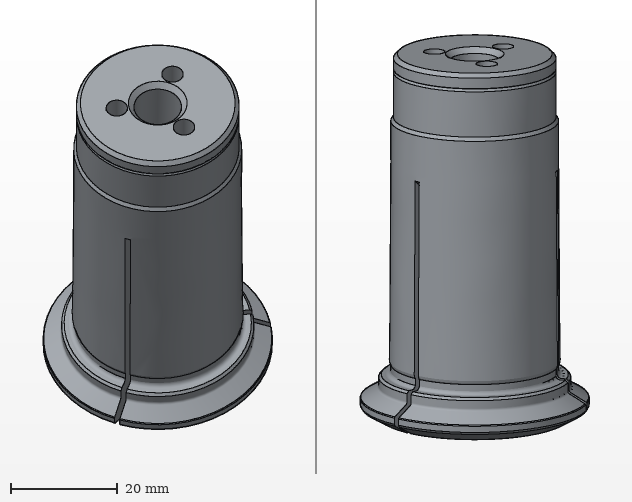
import cadquery as cq
import math

total_height = 70.0

rim_radius = 43.0 / 2
rim_bottom_z = 2.3
rim_top_z = 3.5
rim_top_break_radius = 0.15
rim_top_break_height = 0.2
rim_bottom_break_radius = 0.3
flange_base_radius = 18.0
cone_spread = math.tan(math.radians(60))

lower_cone_top_radius = rim_radius - rim_bottom_break_radius
lower_cone_top_z = (lower_cone_top_radius - flange_base_radius) / cone_spread
upper_cone_bottom_radius = rim_radius - rim_top_break_radius
upper_cone_bottom_z = rim_top_z + rim_top_break_height

collar_radius = 36.05 / 2
collar_top_z = 8.05
collar_chamfer = 0.5
collar_blend_length = 0.35
collar_corner_z = upper_cone_bottom_z + (upper_cone_bottom_radius - collar_radius) / cone_spread

neck_radius = 15.75
neck_bottom_z = 8.75
neck_top_z = 10.1
neck_fillet_start_radius = 16.8
neck_fillet_radius = 0.9

body_bottom_radius = 32.05 / 2
body_top_radius = 31.5 / 2
body_bottom_z = 10.8
body_top_z = 57.1
body_edge_radius = 15.9
body_edge_z = 10.3

head_radius = 30.5 / 2
head_bottom_z = 57.8
head_chamfer = 0.8
groove_top_z = 67.2
groove_floor_z = 67.05
groove_bottom_z = 66.6
groove_depth = 0.3

bore_radius = 25.0 / 2
bore_depth = body_top_z
center_hole_diameter = 8.9
center_hole_chamfer = 1.05
small_hole_diameter = 4.0
small_hole_circle_radius = 7.8
hole_count = 3

slot_width = 1.05
slot_count = 3
slot_first_angle = 180
slot_top_z = 48.2
slot_top_slope = math.tan(math.radians(40))
slot_floor_start_radius = 28.5 / 2
slot_floor_slope = math.tan(math.radians(35))
slot_overrun = 0.7


def outer_body():
    """Solid of revolution with the whole outer contour."""
    blend_start = (
        collar_radius + collar_blend_length * math.sin(math.radians(60)),
        collar_corner_z - collar_blend_length * math.cos(math.radians(60)),
    )
    blend_end = (collar_radius, collar_corner_z + collar_blend_length)
    profile = (
        cq.Workplane("XZ")
        .lineTo(flange_base_radius, 0)
        .lineTo(lower_cone_top_radius, lower_cone_top_z)
        .lineTo(rim_radius, rim_bottom_z)
        .lineTo(rim_radius, rim_top_z)
        .lineTo(upper_cone_bottom_radius, upper_cone_bottom_z)
        .lineTo(*blend_start)
        .tangentArcPoint(blend_end, relative=False)
        .lineTo(collar_radius, collar_top_z - collar_chamfer)
        .lineTo(collar_radius - collar_chamfer, collar_top_z)
        .lineTo(neck_fillet_start_radius, collar_top_z)
        .radiusArc((neck_radius, neck_bottom_z), neck_fillet_radius)
        .lineTo(neck_radius, neck_top_z)
        .lineTo(body_edge_radius, body_edge_z)
        .lineTo(body_bottom_radius, body_bottom_z)
        .lineTo(body_top_radius, body_top_z)
        .lineTo(head_radius, head_bottom_z)
        .lineTo(head_radius, groove_bottom_z)
        .lineTo(head_radius - groove_depth, groove_floor_z)
        .lineTo(head_radius, groove_top_z)
        .lineTo(head_radius, total_height - head_chamfer)
        .lineTo(head_radius - head_chamfer, total_height)
        .lineTo(0, total_height)
        .close()
    )
    return profile.revolve(360, (0, 0, 0), (0, 1, 0))


def bore():
    """Blind bore, open at the bottom."""
    return cq.Workplane("XY").circle(bore_radius).extrude(bore_depth)


def top_holes(body):
    """Countersunk center hole and a ring of small holes through the end wall."""
    top_plane = body.faces(">Z").workplane(origin=(0, 0, total_height))
    countersink_diameter = center_hole_diameter + 2 * center_hole_chamfer
    body = top_plane.cskHole(center_hole_diameter, countersink_diameter, 90)
    top_plane = body.faces(">Z").workplane(origin=(0, 0, total_height))
    small_holes = top_plane.polarArray(small_hole_circle_radius, 0, 360, hole_count)
    return small_holes.hole(small_hole_diameter)


def slot_cutter(angle):
    """Radial slot whose upper end falls and whose floor rises towards the bore."""
    inner = bore_radius - slot_overrun
    outer = rim_radius + slot_overrun
    profile = [
        (inner, (slot_floor_start_radius - inner) * slot_floor_slope),
        (slot_floor_start_radius, 0),
        (outer, 0),
        (outer, slot_top_z + (outer - body_top_radius) * slot_top_slope),
        (inner, slot_top_z - (body_top_radius - inner) * slot_top_slope),
    ]
    cutter = cq.Workplane("XZ").polyline(profile).close().extrude(slot_width / 2, both=True)
    return cutter.rotate((0, 0, 0), (0, 0, 1), angle)


result = top_holes(outer_body().cut(bore()))
for index in range(slot_count):
    result = result.cut(slot_cutter(slot_first_angle + index * 360 / slot_count))